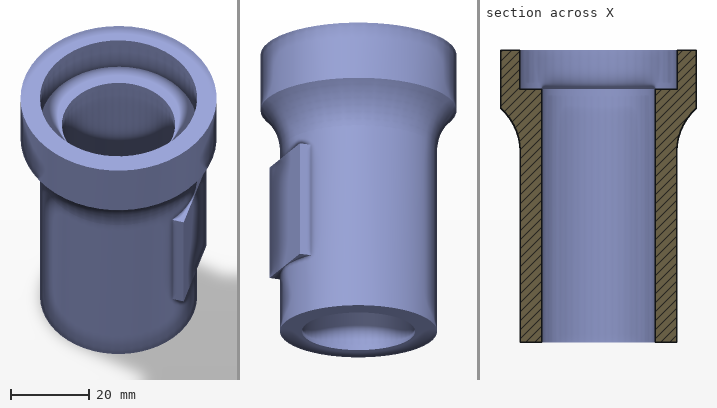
import cadquery as cq
import math

total_height = 75.0
collar_height = 15.0
flare_height = 11.1
recess_depth = 10.0

collar_diameter = 50.25
body_diameter = 40.3
recess_diameter = 40.3
bore_diameter = 29.0

pad_width = 20.25
pad_bottom = 15.0
pad_height = 30.0
pad_face_x = 20.5

collar_radius = collar_diameter / 2
body_radius = body_diameter / 2
collar_bottom = total_height - collar_height
flare_bottom = collar_bottom - flare_height

flare_step = collar_radius - body_radius
flare_radius = (flare_step**2 + flare_height**2) / (2 * flare_step)
half_sweep = math.asin(flare_height / flare_radius) / 2
flare_mid = (
    body_radius + flare_radius * (1 - math.cos(half_sweep)),
    flare_bottom + flare_radius * math.sin(half_sweep),
)


def make_outer_body():
    """Revolve the body, concave flare and collar about Z."""
    return (
        cq.Workplane("XZ")
        .lineTo(body_radius, 0)
        .lineTo(body_radius, flare_bottom)
        .threePointArc(flare_mid, (collar_radius, collar_bottom))
        .lineTo(collar_radius, total_height)
        .lineTo(0, total_height)
        .close()
        .revolve(360, (0, 0, 0), (0, 1, 0))
    )


def make_pad():
    """Block from the axis to the pad face; the bore clears its inner part."""
    return cq.Workplane("XY").box(
        pad_face_x, pad_width, pad_height, centered=(False, True, False)
    ).translate((0, 0, pad_bottom))


def make_bore():
    """Through bore with the wider recess at the top."""
    bore = cq.Workplane("XY").circle(bore_diameter / 2).extrude(total_height)
    recess = (
        cq.Workplane("XY", origin=(0, 0, total_height))
        .circle(recess_diameter / 2)
        .extrude(-recess_depth)
    )
    return bore.union(recess)


result = make_outer_body().union(make_pad()).cut(make_bore())